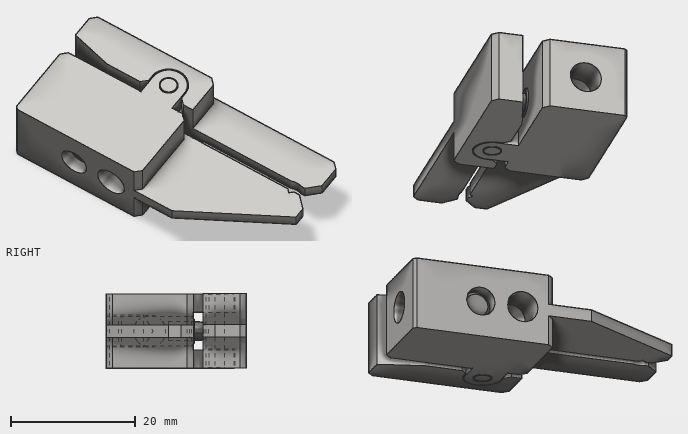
import cadquery as cq
import math

LENGTH = 47.6
BLOCK_LENGTH = 24.0
BASE_DEPTH = 14.0
BASE_HEIGHT = 12.0
MID_HEIGHT = BASE_HEIGHT / 2
JAW_GAP = 1.5
JAW_DEPTH = 7.0
JAW_LIFT = 0.05
JAW_FRONT = BASE_DEPTH + JAW_GAP
JAW_BACK = JAW_FRONT + JAW_DEPTH

CORNER_CHAMFER = 1.0
SMALL_CHAMFER = CORNER_CHAMFER / 2
TIP_CHAMFER = 2.0
FINGER_THICKNESS = 2.0
CUT_MARGIN = 0.48

FINGER_SLOPE_RISE = 10.0
FINGER_SLOPE_ANGLE = 30.0
NOTCH_X = 43.95
NOTCH_DEPTH = 0.55

HANDLE_TAPER_LENGTH = 7.45
HANDLE_TAPER_DEPTH = 2.0
GROOVE_RADIUS = 2.75
GROOVE_DEPTH = 0.2

PIVOT_X = 18.0
PIVOT_SETBACK = 5.0
PIVOT_Y = JAW_BACK - PIVOT_SETBACK
LUG_RADIUS = 3.0
LUG_HEIGHT = 3.0
LUG_CLEARANCE = 0.2
PIN_DIAMETER = 3.0
PIN_CHAMFER = 0.15
TONGUE_CLEARANCE = 0.1
TONGUE_BOTTOM = LUG_HEIGHT + TONGUE_CLEARANCE
TONGUE_TOP = BASE_HEIGHT - LUG_HEIGHT

PORT_DIAMETER = 5.15
PORT_DEPTH = 6.0
DRILL_POINT_ANGLE = 118.0
FRONT_PORT_X = 18.55
SIDE_PORT_Y = BASE_DEPTH / 2

PLUNGER_X = 11.42
SLEEVE_DIAMETER = 4.75
SLEEVE_CHAMFER = 0.48
SLEEVE_START = 2.0
SLEEVE_PROTRUSION = 0.2
SLEEVE_END = BASE_DEPTH + SLEEVE_PROTRUSION
ROD_DIAMETER = 3.05
ROD_RADIUS = ROD_DIAMETER / 2
ROD_INSERTION = 4.0
ROD_START = BASE_DEPTH - ROD_INSERTION
SHANK_PROTRUSION = 0.9
DOME_START = BASE_DEPTH + SHANK_PROTRUSION


def prism(points, bottom, height):
    """Extrude a closed XY outline upward from the given level."""
    return cq.Workplane("XY").workplane(offset=bottom).polyline(points).close().extrude(height)


def cylinder_y(diameter, start, end):
    """Cylinder along Y on the plunger axis."""
    axis_start = cq.Vector(PLUNGER_X, start, MID_HEIGHT)
    solid = cq.Solid.makeCylinder(diameter / 2, end - start, axis_start, cq.Vector(0, 1, 0))
    return cq.Workplane(obj=solid)


def pivot_cylinder(radius, bottom, top):
    """Cylinder along Z on the hinge axis."""
    start = cq.Vector(PIVOT_X, PIVOT_Y, bottom)
    return cq.Workplane(obj=cq.Solid.makeCylinder(radius, top - bottom, start))


def drilled_port(mouth, direction):
    """Blind hole with a conical bottom, drilled from its mouth."""
    radius = PORT_DIAMETER / 2
    point_depth = radius / math.tan(math.radians(DRILL_POINT_ANGLE / 2))
    floor = mouth + direction * PORT_DEPTH
    straight = cq.Solid.makeCylinder(radius, PORT_DEPTH, mouth, direction)
    point = cq.Solid.makeCone(radius, 0, point_depth, floor, direction)
    return cq.Workplane(obj=straight).union(cq.Workplane(obj=point))


def base_block():
    outline = [
        (SMALL_CHAMFER, 0),
        (BLOCK_LENGTH - CORNER_CHAMFER, 0),
        (BLOCK_LENGTH, CORNER_CHAMFER),
        (BLOCK_LENGTH, BASE_DEPTH - CORNER_CHAMFER),
        (BLOCK_LENGTH - CORNER_CHAMFER, BASE_DEPTH),
        (CORNER_CHAMFER, BASE_DEPTH),
        (0, BASE_DEPTH - CORNER_CHAMFER),
        (0, SMALL_CHAMFER),
    ]
    return prism(outline, 0, BASE_HEIGHT)


def base_finger():
    slope_length = FINGER_SLOPE_RISE / math.tan(math.radians(FINGER_SLOPE_ANGLE))
    root = BLOCK_LENGTH - CORNER_CHAMFER
    outline = [
        (root, 0),
        (LENGTH - slope_length, 0),
        (LENGTH, FINGER_SLOPE_RISE),
        (LENGTH, BASE_DEPTH - TIP_CHAMFER),
        (LENGTH - TIP_CHAMFER, BASE_DEPTH),
        (NOTCH_X + NOTCH_DEPTH, BASE_DEPTH),
        (NOTCH_X, BASE_DEPTH - NOTCH_DEPTH),
        (NOTCH_X - NOTCH_DEPTH, BASE_DEPTH),
        (root, BASE_DEPTH),
    ]
    return prism(outline, MID_HEIGHT - FINGER_THICKNESS / 2, FINGER_THICKNESS)


def hinge_tab(radius, start_y, bottom, top):
    """Straight-sided tab along Y with a round end on the hinge axis."""
    straight = cq.Workplane("XY").box(
        2 * radius, PIVOT_Y - start_y, top - bottom, centered=(True, False, False)
    )
    straight = straight.translate((PIVOT_X, start_y, bottom))
    return straight.union(pivot_cylinder(radius, bottom, top))


def make_base():
    base = base_block().union(base_finger())
    lug_root = BASE_DEPTH - CORNER_CHAMFER
    for bottom in (0, BASE_HEIGHT - LUG_HEIGHT):
        base = base.union(hinge_tab(LUG_RADIUS, lug_root, bottom, bottom + LUG_HEIGHT))
    base = base.cut(pivot_cylinder(PIN_DIAMETER / 2, 0, BASE_HEIGHT))
    base = base.cut(cylinder_y(SLEEVE_DIAMETER, 0, BASE_DEPTH))
    base = base.cut(drilled_port(cq.Vector(FRONT_PORT_X, 0, MID_HEIGHT), cq.Vector(0, 1, 0)))
    return base.cut(drilled_port(cq.Vector(0, SIDE_PORT_Y, MID_HEIGHT), cq.Vector(1, 0, 0)))


def jaw_block():
    outline = [
        (HANDLE_TAPER_LENGTH, JAW_FRONT),
        (BLOCK_LENGTH, JAW_FRONT),
        (BLOCK_LENGTH, JAW_BACK - CORNER_CHAMFER),
        (BLOCK_LENGTH - CORNER_CHAMFER, JAW_BACK),
        (CORNER_CHAMFER, JAW_BACK),
        (0, JAW_BACK - CORNER_CHAMFER),
        (0, JAW_FRONT + HANDLE_TAPER_DEPTH),
    ]
    return prism(outline, JAW_LIFT, BASE_HEIGHT)


def jaw_finger():
    root = BLOCK_LENGTH - CORNER_CHAMFER
    outline = [
        (root, JAW_FRONT),
        (LENGTH - TIP_CHAMFER, JAW_FRONT),
        (LENGTH, JAW_FRONT + TIP_CHAMFER),
        (LENGTH, JAW_BACK - CORNER_CHAMFER),
        (LENGTH - CORNER_CHAMFER, JAW_BACK),
        (root, JAW_BACK),
    ]
    bottom = MID_HEIGHT - FINGER_THICKNESS / 2 + JAW_LIFT
    finger = prism(outline, bottom, FINGER_THICKNESS)
    groove_axis = cq.Vector(NOTCH_X, JAW_FRONT + GROOVE_DEPTH - GROOVE_RADIUS, bottom)
    groove = cq.Solid.makeCylinder(GROOVE_RADIUS, FINGER_THICKNESS, groove_axis)
    return finger.cut(cq.Workplane(obj=groove))


def lug_recess(bottom, top):
    """Clearance pocket for one lug, with a chamfered mouth."""
    radius = LUG_RADIUS + LUG_CLEARANCE
    pocket = hinge_tab(radius, JAW_FRONT - CUT_MARGIN, bottom, top)
    mouth = [
        (PIVOT_X - radius - CORNER_CHAMFER, JAW_FRONT),
        (PIVOT_X + radius + CORNER_CHAMFER, JAW_FRONT),
        (PIVOT_X + radius, JAW_FRONT + CORNER_CHAMFER),
        (PIVOT_X - radius, JAW_FRONT + CORNER_CHAMFER),
    ]
    return pocket.union(prism(mouth, bottom, top - bottom))


def make_jaw(rod):
    jaw = jaw_block().union(jaw_finger())
    jaw_top = BASE_HEIGHT + JAW_LIFT
    for bottom, top in ((0, TONGUE_BOTTOM), (TONGUE_TOP, jaw_top)):
        jaw = jaw.cut(lug_recess(bottom, top))
    jaw = jaw.cut(pivot_cylinder(PIN_DIAMETER / 2, 0, jaw_top))
    return jaw.cut(rod)


def make_pivot_pin():
    pin = pivot_cylinder(PIN_DIAMETER / 2, 0, BASE_HEIGHT)
    return pin.faces("<Z or >Z").chamfer(PIN_CHAMFER)


def make_plunger_rod():
    shank = cylinder_y(ROD_DIAMETER, ROD_START, DOME_START)
    dome = cq.Workplane("XY").sphere(ROD_RADIUS).translate((PLUNGER_X, DOME_START, MID_HEIGHT))
    return shank.union(dome)


def make_plunger_sleeve(rod):
    sleeve = cylinder_y(SLEEVE_DIAMETER, SLEEVE_START, SLEEVE_END)
    sleeve = sleeve.faces("<Y or >Y").chamfer(SLEEVE_CHAMFER)
    return sleeve.cut(rod)


plunger_rod = make_plunger_rod()
plunger_sleeve = make_plunger_sleeve(plunger_rod)
base = make_base()
jaw = make_jaw(plunger_rod)
pivot_pin = make_pivot_pin()

result = cq.Compound.makeCompound([
    base.val(),
    jaw.val(),
    pivot_pin.val(),
    plunger_sleeve.val(),
    plunger_rod.val(),
])